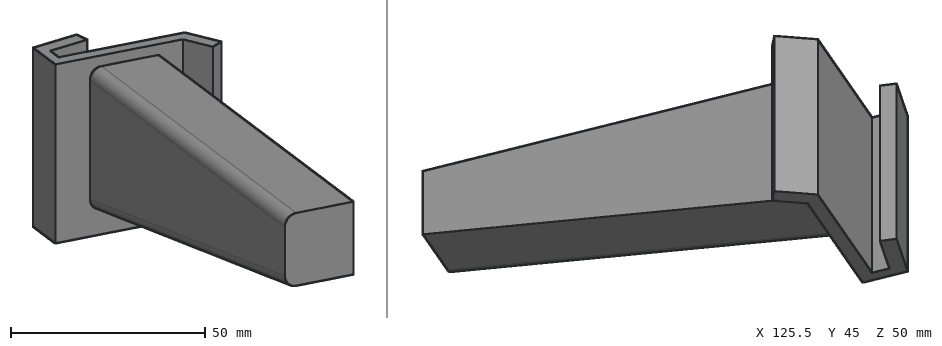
import cadquery as cq
import math

length = 125.5
height = 50.0

plate_front = 15.3
plate_thickness = 3.9
floor_thickness = 3.0
clip_width = 45.0
lip_angle = 11.0
lip_thickness = 4.4
lip_length = 14.3
flange_angle = 30.0
flange_thickness = 4.1
flange_length = 11.3

arm_back = 29.9
arm_front = 10.0
arm_top = height - 3.0
arm_root_bottom = 7.2
arm_taper_angle = 10.0
arm_edge_radius = 3.3


def make_clip():
    """Upright plate with a hooked lip at one edge and a bent flange at the other."""
    lip = math.radians(lip_angle)
    flange = math.radians(flange_angle)
    plate_rear = plate_front - plate_thickness

    lip_foot_x = lip_length * math.sin(lip)
    lip_tip_y = lip_length * math.cos(lip)
    lip_inner_tip = (lip_thickness * math.cos(lip), lip_tip_y + lip_thickness * math.sin(lip))
    lip_inner_foot_x = lip_foot_x + lip_thickness / math.cos(lip) - floor_thickness * math.tan(lip)

    flange_tip_x = plate_rear + flange_length * math.cos(flange)
    outer_bend_y = clip_width - flange_length * math.sin(flange)
    inner_bend_y = (
        outer_bend_y + plate_thickness * math.tan(flange) - flange_thickness / math.cos(flange)
    )
    flange_inner_tip = (
        flange_tip_x + flange_thickness * math.sin(flange),
        clip_width - flange_thickness * math.cos(flange),
    )

    outline = [
        (0, lip_tip_y),
        (lip_foot_x, 0),
        (plate_front, 0),
        (plate_front, inner_bend_y),
        flange_inner_tip,
        (flange_tip_x, clip_width),
        (plate_rear, outer_bend_y),
        (plate_rear, floor_thickness),
        (lip_inner_foot_x, floor_thickness),
        lip_inner_tip,
    ]
    return cq.Workplane("XY").polyline(outline).close().extrude(height)


def make_arm():
    """Bar with a sloping underside and rounded front edges, butted against the plate."""
    rise = (length - plate_front) * math.tan(math.radians(arm_taper_angle))
    outline = [
        (plate_front, arm_root_bottom),
        (length, arm_root_bottom + rise),
        (length, arm_top),
        (plate_front, arm_top),
    ]
    bar = (
        cq.Workplane("XZ", origin=(0, arm_back, 0))
        .polyline(outline)
        .close()
        .extrude(arm_back - arm_front)
    )
    return bar.faces("<Y").edges("not |Z").fillet(arm_edge_radius)


clip = make_clip()
arm = make_arm()

result = cq.Compound.makeCompound([clip.val(), arm.val()])